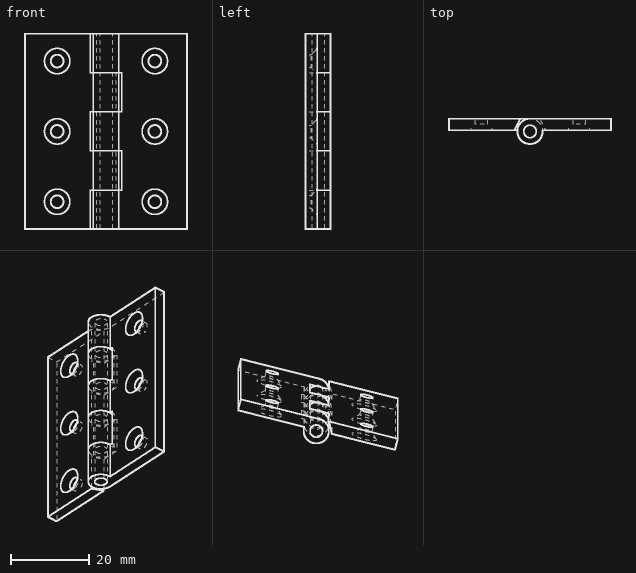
import cadquery as cq

HINGE_WIDTH = 41.5
HINGE_HEIGHT = 50.0
LEAF_THICKNESS = 3.0
BARREL_RADIUS = 3.25
PIN_RADIUS = 1.6
KNUCKLE_COUNT = 5
EDGE_FRONT_X = 4.0
EDGE_BACK_X = 2.5
HOLE_X = 12.5
HOLE_PITCH = 18.0
HOLE_RADIUS = 1.6
SINK_RADIUS = 3.25
SINK_DEPTH = 1.65

LEAF_END_X = HINGE_WIDTH / 2
LEAF_BACK_Y = BARREL_RADIUS
LEAF_FRONT_Y = LEAF_BACK_Y - LEAF_THICKNESS
KNUCKLE_HEIGHT = HINGE_HEIGHT / KNUCKLE_COUNT
BOTTOM_Z = -HINGE_HEIGHT / 2


def make_plate(side):
    """Flat part of a leaf with a bevelled inner edge; side is +1 or -1 along X."""
    return (
        cq.Workplane("XY", origin=(0, 0, BOTTOM_Z))
        .moveTo(side * EDGE_FRONT_X, LEAF_FRONT_Y)
        .lineTo(side * LEAF_END_X, LEAF_FRONT_Y)
        .lineTo(side * LEAF_END_X, LEAF_BACK_Y)
        .lineTo(side * EDGE_BACK_X, LEAF_BACK_Y)
        .close()
        .extrude(HINGE_HEIGHT)
    )


def make_knuckle(side, index):
    """Barrel section whose web leaves it along the side tangent and meets the leaf."""
    base = cq.Workplane("XY", origin=(0, 0, BOTTOM_Z + index * KNUCKLE_HEIGHT))
    barrel = base.circle(BARREL_RADIUS).extrude(KNUCKLE_HEIGHT)
    web = (
        base.moveTo(0, 0)
        .lineTo(side * BARREL_RADIUS, 0)
        .lineTo(side * BARREL_RADIUS, LEAF_FRONT_Y)
        .lineTo(side * EDGE_FRONT_X, LEAF_FRONT_Y)
        .lineTo(side * EDGE_BACK_X, LEAF_BACK_Y)
        .lineTo(0, LEAF_BACK_Y)
        .close()
        .extrude(KNUCKLE_HEIGHT)
    )
    return barrel.union(web)


def make_screw_hole(side, z):
    """Cutter for a through hole, countersunk from the front face."""
    center = cq.Vector(side * HOLE_X, LEAF_FRONT_Y, z)
    inward = cq.Vector(0, 1, 0)
    shank = cq.Solid.makeCylinder(HOLE_RADIUS, LEAF_THICKNESS, center, inward)
    sink = cq.Solid.makeCone(SINK_RADIUS, HOLE_RADIUS, SINK_DEPTH, center, inward)
    return cq.Workplane(shank).union(cq.Workplane(sink))


def make_leaf(side, first_knuckle):
    """Leaf carrying every second knuckle, counted from the bottom."""
    leaf = make_plate(side)
    for index in range(first_knuckle, KNUCKLE_COUNT, 2):
        leaf = leaf.union(make_knuckle(side, index))
    for row in (-1, 0, 1):
        leaf = leaf.cut(make_screw_hole(side, row * HOLE_PITCH))
    return leaf.cut(make_pin()).solids()


def make_pin():
    """Pin filling the bore over the full height of the barrel."""
    return cq.Workplane("XY", origin=(0, 0, BOTTOM_Z)).circle(PIN_RADIUS).extrude(HINGE_HEIGHT)


right_leaf = make_leaf(side=1, first_knuckle=0)
left_leaf = make_leaf(side=-1, first_knuckle=1)
pin = make_pin()

result = cq.Compound.makeCompound([right_leaf.val(), left_leaf.val(), pin.val()])